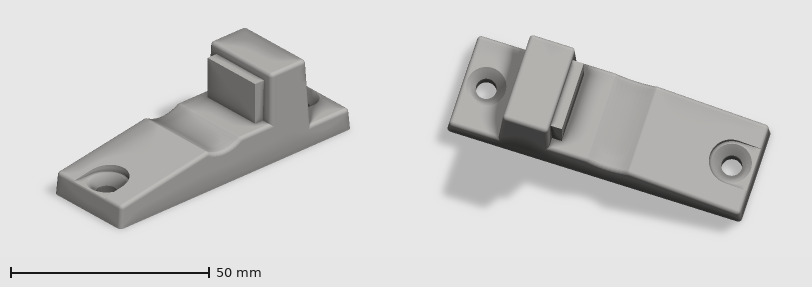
import cadquery as cq
import math

length = 78.0
width = 25.0
height = 25.0
side_draft = math.radians(2)
end_draft = math.radians(5)
back_draft = math.radians(3)
tower_draft = math.radians(2)
edge_radius = 1.0

pad_height = 6.0
deck_height = 11.0
nose_height = 6.25
tower_back = 25.5
tower_front = 12.2
groove_back = 2.0
groove_front = -8.9
groove_radius = 10.0

block_width = 18.0
block_front = 9.6
block_top = 22.5

hole_offset = 32.5
hole_diameter = 5.3
sink_diameter = 10.15
recess_width = 11.55


def drafted_body():
    """Stepped side profile, trimmed by side walls that lean inward."""
    half = length / 2
    groove_middle = (groove_back + groove_front) / 2
    half_chord = (groove_back - groove_front) / 2
    sag = groove_radius - math.sqrt(groove_radius**2 - half_chord**2)
    tower_back_top = tower_back - (height - pad_height) * math.tan(back_draft)
    tower_front_top = tower_front + (height - deck_height) * math.tan(tower_draft)
    profile = (
        cq.Workplane("YZ")
        .moveTo(half, 0)
        .lineTo(half - pad_height * math.tan(end_draft), pad_height)
        .lineTo(tower_back, pad_height)
        .lineTo(tower_back_top, height)
        .lineTo(tower_front_top, height)
        .lineTo(tower_front, deck_height)
        .lineTo(groove_back, deck_height)
        .threePointArc((groove_middle, deck_height - sag), (groove_front, deck_height))
        .lineTo(-half + nose_height * math.tan(end_draft), nose_height)
        .lineTo(-half, 0)
        .close()
        .extrude(width / 2, both=True)
    )
    top_half_width = width / 2 - height * math.tan(side_draft)
    envelope = (
        cq.Workplane("XZ")
        .polyline([
            (-width / 2, 0),
            (width / 2, 0),
            (top_half_width, height),
            (-top_half_width, height),
        ])
        .close()
        .extrude(half, both=True)
    )
    return profile.intersect(envelope)


def is_rounded(edge):
    """True for every edge off the base except the inner corners at the tower foot."""
    tolerance = 0.01
    middle = edge.positionAt(0.5)
    on_base = edge.BoundingBox().zmax < tolerance
    inner_corners = [(tower_back, pad_height), (tower_front, deck_height)]
    at_inner_corner = any(
        math.hypot(middle.y - y, middle.z - z) < tolerance for y, z in inner_corners
    )
    return not on_base and not at_inner_corner


def tower_block():
    rear = (tower_back + tower_front) / 2
    return (
        cq.Workplane("XY", origin=(0, 0, deck_height - edge_radius))
        .center(0, (rear + block_front) / 2)
        .rect(block_width, rear - block_front)
        .extrude(block_top - deck_height + edge_radius)
    )


def front_recess():
    """Flat-floored recess, rounded behind the hole and open to the front."""
    run_out = length / 2 - hole_offset
    floor = cq.Workplane("XY", origin=(0, -hole_offset, pad_height))
    round_end = floor.circle(recess_width / 2).extrude(height)
    open_end = floor.center(0, -run_out / 2).rect(recess_width, run_out).extrude(height)
    return round_end.union(open_end)


body = drafted_body()
body = body.newObject([e for e in body.edges().vals() if is_rounded(e)]).fillet(edge_radius)
body = body.union(tower_block()).cut(front_recess())

result = (
    body.copyWorkplane(cq.Workplane("XY", origin=(0, 0, pad_height)))
    .pushPoints([(0, hole_offset), (0, -hole_offset)])
    .cskHole(hole_diameter, sink_diameter, 90)
)